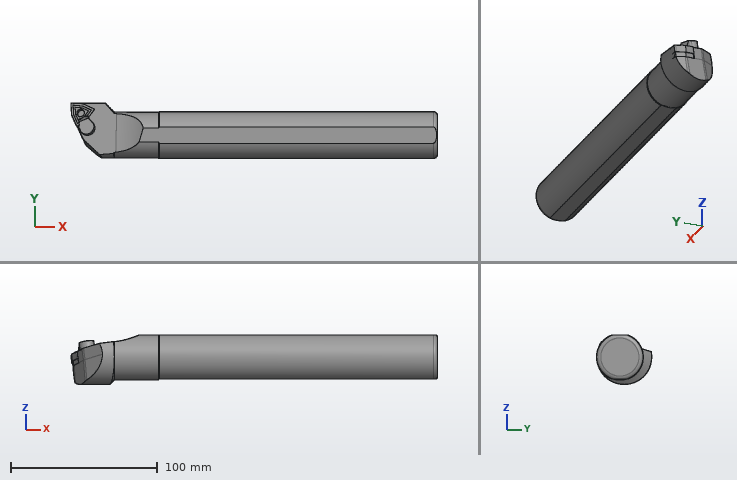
import cadquery as cq
import math

bar_end = 249.92
shank_diameter = 32.0
shank_radius = shank_diameter / 2
flat_height = 15.0
shank_start = 60.3
shank_lead_in = 0.7
shank_end_fillet = 3.0
neck_radius = 15.75
neck_start = 29.6
head_radius = 18.75
head_offset = head_radius - neck_radius
oversize = 60.0

insert_center = (6.69, 15.14, 2.46)
slope_x = 0.14
slope_y = -0.18
tool_plane = cq.Plane(
    origin=insert_center,
    xDir=(1, 0, slope_x),
    normal=(-slope_x, -slope_y, 1),
)

insert_inradius = 6.35
insert_thickness = 4.76
insert_hole_diameter = 5.1
nose_radius = 0.8
corner_directions = (15, 135, 255)
half_corner_angle = 40
groove_outer_inset = 1.5
groove_inner_inset = 2.8
groove_depth = 0.2

shim_thickness = 3.18
shim_inset = 0.6
pocket_depth = insert_thickness + shim_thickness

flank_setback = 0.4
tip_flank = (185, insert_inradius - flank_setback)
side_flank = (205, insert_inradius - flank_setback)
corner_flank = (227, 11.8)
flank_fillet = 5.0
lower_flank_flare = 4

runout_start = 24.8
runout_radius = 42.0
runout_angle = 60

clamp_radius = 5.1
clamp_height = 5.3
clamp_center = (5.0, -10.5)
clamp_direction = 113.5
clamp_length = 5.1
clamp_nose_width = 7.0
clamp_nose_reach = 3.0


def direction(angle):
    return math.cos(math.radians(angle)), math.sin(math.radians(angle))


def crossing(line_a, line_b):
    """Point where two lines meet, each given as (normal direction, distance from the origin)."""
    (ax, ay), a_distance = direction(line_a[0]), line_a[1]
    (bx, by), b_distance = direction(line_b[0]), line_b[1]
    det = ax * by - ay * bx
    return (a_distance * by - b_distance * ay) / det, (ax * b_distance - bx * a_distance) / det


def in_tool_frame(shape):
    """Move a shape built around the origin into the tilted tool frame."""
    return cq.Workplane("XY").newObject([shape.val().moved(tool_plane.location)])


def revolved_about_x(points):
    return cq.Workplane("XY").polyline(points).close().revolve(360, (0, 0, 0), (1, 0, 0))


def trigon(inset, top, thickness, corner_radius=0.0):
    """Six-sided plate with three 80 degree corners, hanging down from height top."""
    radius = insert_inradius - inset
    faces = []
    for corner in corner_directions:
        faces += [corner - 90 + half_corner_angle, corner + 90 - half_corner_angle]
    lines = [(face, radius) for face in faces]
    points = [crossing(lines[i - 1], lines[i]) for i in range(len(lines))]
    plate = cq.Workplane("XY").workplane(offset=top).polyline(points).close().extrude(-thickness)
    if corner_radius:
        for corner in corner_directions:
            x, y = direction(corner)
            outermost = cq.selectors.DirectionMinMaxSelector(cq.Vector(x, y, 0), True)
            plate = plate.edges("|Z").edges(outermost).fillet(corner_radius)
    return plate


def make_shank():
    shank = revolved_about_x([
        (shank_start - shank_lead_in, 0),
        (shank_start - shank_lead_in, neck_radius),
        (shank_start, shank_radius),
        (bar_end, shank_radius),
        (bar_end, 0),
    ])
    shank = shank.faces(">X").edges().fillet(shank_end_fillet)
    flats = cq.Workplane("XY").box(2 * bar_end, 2 * shank_diameter, 2 * flat_height)
    return shank.intersect(flats)


def make_neck():
    neck = cq.Workplane("YZ").workplane(offset=neck_start).circle(neck_radius)
    neck = neck.extrude(shank_start - shank_lead_in - neck_start)
    above_flat = cq.Workplane("XY").workplane(offset=flat_height).rect(2 * bar_end, 2 * shank_diameter)
    return neck.cut(above_flat.extrude(oversize))


def make_head():
    head = cq.Workplane("YZ").workplane(offset=-oversize).center(head_offset, 0).circle(head_radius)
    head = head.extrude(oversize + neck_start)
    back_cone = revolved_about_x([
        (-oversize, 0),
        (-oversize, neck_radius + neck_start + oversize),
        (neck_start, neck_radius),
        (neck_start, 0),
    ])
    return head.intersect(back_cone).intersect(flank_envelope())


def flank_envelope():
    """Block whose left side follows the three head flanks."""
    tip_line_top = crossing(tip_flank, (90, oversize))
    corner_line_end = crossing(corner_flank, (270, oversize))
    block = cq.Workplane("XY").workplane(offset=-pocket_depth).polyline([
        tip_line_top,
        crossing(tip_flank, side_flank),
        crossing(side_flank, corner_flank),
        corner_line_end,
        (2 * oversize, -oversize),
        (2 * oversize, oversize),
    ]).close().extrude(oversize)
    for meeting in (crossing(tip_flank, side_flank), crossing(side_flank, corner_flank)):
        nearest = cq.selectors.NearestToPointSelector((*meeting, oversize / 2))
        block = block.edges(nearest).fillet(flank_fillet)
    block = block.faces("<Z").wires().toPending().extrude(-oversize, taper=-lower_flank_flare)
    return in_tool_frame(block)


def chip_clearance():
    """Space above the tilted top face, rising to the bar in a cylindrical run-out."""
    def arc_point(angle):
        x, y = direction(angle - 90)
        return runout_start + runout_radius * x, runout_radius * (1 + y)

    end = arc_point(runout_angle)
    space = (
        cq.Workplane("XZ", origin=(0, 2 * oversize, 0))
        .moveTo(-oversize, 0)
        .lineTo(runout_start, 0)
        .threePointArc(arc_point(runout_angle / 2), end)
        .lineTo(-oversize, end[1])
        .close()
        .extrude(4 * oversize)
    )
    return in_tool_frame(space)


def make_clamp():
    """Finger with a round back end and a sloping nose that rests on the insert."""
    nose_x, nose_y = direction(clamp_direction)
    plan = cq.Plane(origin=(*clamp_center, 0), xDir=(nose_x, nose_y, 0), normal=(0, 0, 1))
    profile = cq.Plane(origin=(*clamp_center, 0), xDir=(nose_x, nose_y, 0), normal=(nose_y, -nose_x, 0))
    reach = clamp_length + clamp_nose_reach
    round_end = cq.Workplane(plan).circle(clamp_radius).extrude(clamp_height)
    arm = cq.Workplane(plan).polyline([
        (0, clamp_radius),
        (clamp_length, clamp_nose_width / 2),
        (reach, clamp_nose_width / 2),
        (reach, -clamp_nose_width / 2),
        (clamp_length, -clamp_nose_width / 2),
        (0, -clamp_radius),
    ]).close().extrude(clamp_height)
    above_nose = cq.Workplane(profile).polyline([
        (reach, 0),
        (reach, clamp_height),
        (clamp_length, clamp_height),
    ]).close().extrude(clamp_radius, both=True)
    return in_tool_frame(round_end.union(arm).cut(above_nose))


def make_holder():
    bar = make_shank().union(make_neck()).union(make_head())
    bar = bar.cut(chip_clearance())
    bar = bar.cut(in_tool_frame(trigon(0, 0, pocket_depth)))
    shim = in_tool_frame(trigon(shim_inset, -insert_thickness, shim_thickness))
    return bar.union(shim).union(make_clamp())


def make_insert():
    plate = trigon(0, 0, insert_thickness, nose_radius)
    groove = trigon(groove_outer_inset, 0, groove_depth).cut(trigon(groove_inner_inset, 0, groove_depth))
    hole = cq.Workplane("XY").circle(insert_hole_diameter / 2).extrude(-insert_thickness)
    return in_tool_frame(plate.cut(groove).cut(hole))


holder = make_holder()
insert = make_insert()
result = cq.Compound.makeCompound([holder.val(), insert.val()])